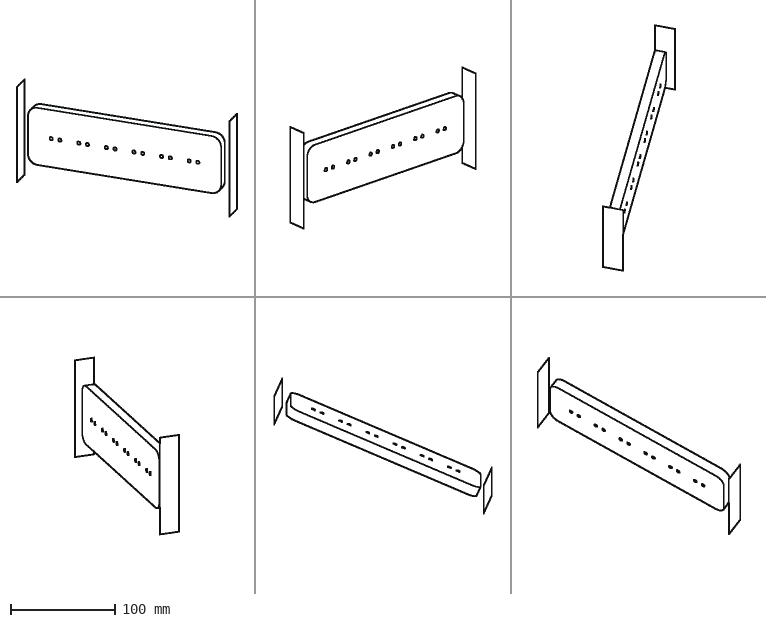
import cadquery as cq

PLATE_LENGTH = 200.0
PLATE_HEIGHT = 60.0
PLATE_THICKNESS = 10.0
PLATE_CORNER_RADIUS = 10.0
PLATE_CENTER_Y = -1.5

PAIR_COUNT = 6
PAIR_PITCH = PLATE_LENGTH / (PAIR_COUNT + 1)
PAIR_SPACING = 9.0
HOLE_DIAMETER = 3.3

PANEL_GAP = 10.0
PANEL_WIDTH = 20.0
PANEL_HEIGHT = 100.0
PANEL_X = PLATE_LENGTH / 2 + PANEL_GAP


def hole_positions():
    """X, Z positions of the hole pairs, centered on the plate."""
    positions = []
    for index in range(PAIR_COUNT):
        pair_x = (index - (PAIR_COUNT - 1) / 2) * PAIR_PITCH
        positions.append((pair_x - PAIR_SPACING / 2, 0))
        positions.append((pair_x + PAIR_SPACING / 2, 0))
    return positions


def make_plate():
    """Rounded plate with its row of through holes."""
    plate = cq.Workplane("XZ").box(PLATE_LENGTH, PLATE_HEIGHT, PLATE_THICKNESS)
    plate = plate.edges("|Y").fillet(PLATE_CORNER_RADIUS)
    holes = (
        cq.Workplane("XZ")
        .pushPoints(hole_positions())
        .circle(HOLE_DIAMETER / 2)
        .extrude(PLATE_THICKNESS, both=True)
    )
    return plate.cut(holes).translate((0, PLATE_CENTER_Y, 0)).val()


def make_panel(x):
    """Flat rectangular face normal to X."""
    return cq.Face.makePlane(PANEL_WIDTH, PANEL_HEIGHT, (x, 0, 0), (1, 0, 0))


plate_solid = make_plate().Solids()[0]
end_panels = [make_panel(-PANEL_X), make_panel(PANEL_X)]
result = cq.Workplane(cq.Compound.makeCompound([plate_solid] + end_panels))